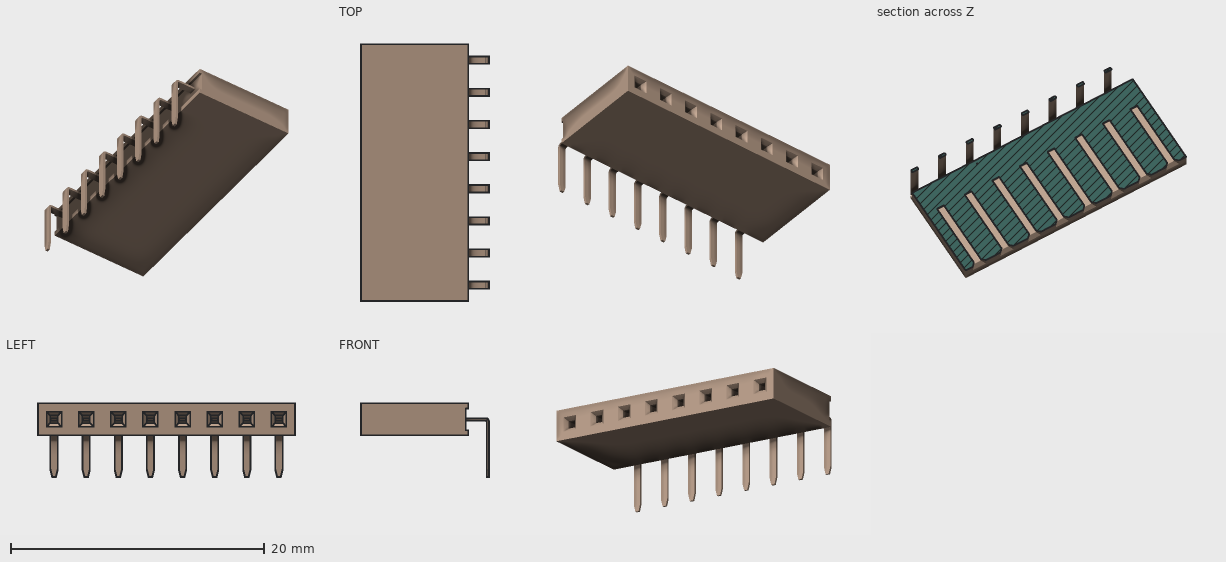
import cadquery as cq

PITCH = 2.54
PIN_COUNT = 8
BODY_DEPTH = 8.5
BODY_WIDTH = PIN_COUNT * PITCH
BODY_HEIGHT = PITCH

CHANNEL_DEPTH = 0.2
CHANNEL_LIP = 0.42

MOUTH_SIZE = 1.19
HOLE_SIZE = 0.6
MOUTH_DEPTH = (MOUTH_SIZE - HOLE_SIZE) / 2
SOCKET_DEPTH = 6.0

PIN_THICKNESS = 0.2
PIN_WIDTH = 0.6
PIN_REACH = 1.63
PIN_DROP = 3.3
BEND_RADIUS = 0.3
BEND_INNER_RADIUS = BEND_RADIUS - PIN_THICKNESS
TIP_LENGTH = 0.6
TIP_WIDTH = 0.3

CONTACT_LENGTH = 0.5
CONTACT_WIDTH = 0.5

LEG_X = BODY_DEPTH + PIN_REACH
TIP_Z = -BODY_HEIGHT / 2 - PIN_DROP
ROW_Y = [(i - (PIN_COUNT - 1) / 2) * PITCH for i in range(PIN_COUNT)]


def make_housing():
    """Block from x = 0 to the rear face, with the channel along the rear."""
    block = cq.Workplane("XY").box(BODY_DEPTH, BODY_WIDTH, BODY_HEIGHT, centered=(False, True, True))
    channel = (
        cq.Workplane("XY")
        .box(CHANNEL_DEPTH, BODY_WIDTH, BODY_HEIGHT - 2 * CHANNEL_LIP, centered=(False, True, True))
        .translate((BODY_DEPTH - CHANNEL_DEPTH, 0, 0))
    )
    return block.cut(channel)


def make_socket():
    """Cavity of one socket, centred on y = 0."""
    mouth = (
        cq.Workplane("YZ")
        .rect(MOUTH_SIZE, MOUTH_SIZE)
        .workplane(offset=MOUTH_DEPTH)
        .rect(HOLE_SIZE, HOLE_SIZE)
        .loft(ruled=True)
    )
    hole = cq.Workplane("YZ").rect(HOLE_SIZE, HOLE_SIZE).extrude(SOCKET_DEPTH)
    return mouth.union(hole)


def make_pin():
    """Bent strip with a tapered solder tip and a narrow contact end, centred on y = 0."""
    half = PIN_THICKNESS / 2
    inner_x = LEG_X - PIN_THICKNESS
    strip = (
        cq.Workplane("XZ")
        .moveTo(SOCKET_DEPTH, half)
        .lineTo(LEG_X - BEND_RADIUS, half)
        .radiusArc((LEG_X, half - BEND_RADIUS), BEND_RADIUS)
        .lineTo(LEG_X, TIP_Z)
        .lineTo(inner_x, TIP_Z)
        .lineTo(inner_x, -half - BEND_INNER_RADIUS)
        .radiusArc((inner_x - BEND_INNER_RADIUS, -half), -BEND_INNER_RADIUS)
        .lineTo(SOCKET_DEPTH, -half)
        .close()
        .extrude(PIN_WIDTH / 2, both=True)
    )
    outline = (
        cq.Workplane("YZ")
        .polyline([
            (-PIN_WIDTH / 2, half),
            (-PIN_WIDTH / 2, TIP_Z + TIP_LENGTH),
            (-TIP_WIDTH / 2, TIP_Z),
            (TIP_WIDTH / 2, TIP_Z),
            (PIN_WIDTH / 2, TIP_Z + TIP_LENGTH),
            (PIN_WIDTH / 2, half),
        ])
        .close()
        .extrude(LEG_X)
    )
    contact = (
        cq.Workplane("XY")
        .box(CONTACT_LENGTH, CONTACT_WIDTH, PIN_THICKNESS, centered=(False, True, True))
        .translate((SOCKET_DEPTH - CONTACT_LENGTH, 0, 0))
    )
    return strip.intersect(outline).union(contact)


result = make_housing()
socket = make_socket()
pin = make_pin()
for y in ROW_Y:
    result = result.cut(socket.translate((0, y, 0)))
    result = result.union(pin.translate((0, y, 0)))